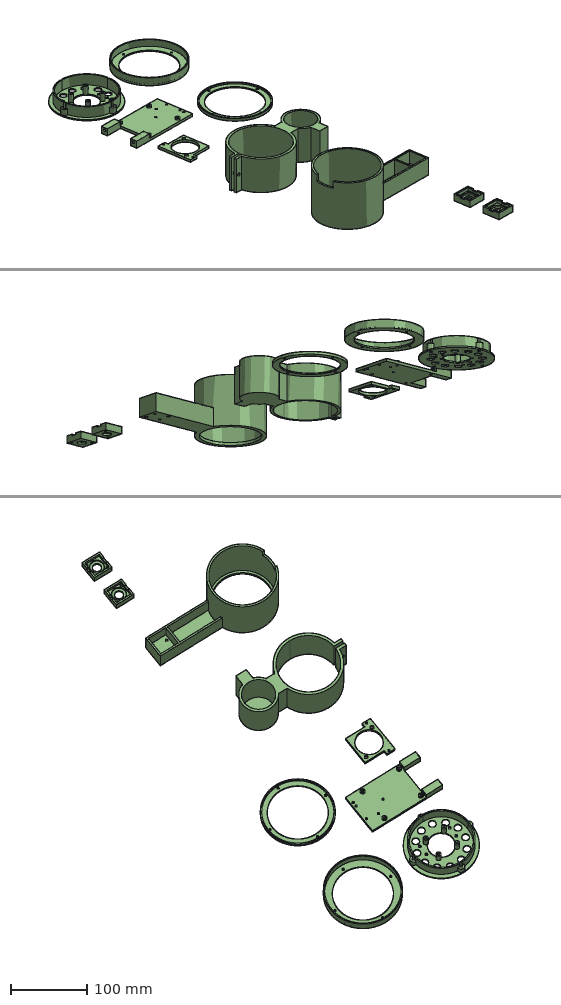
import cadquery as cq
import math


def disc(diameter, bottom, top, center=(0, 0)):
    """Upright cylinder between two heights."""
    return cq.Workplane("XY", origin=(*center, bottom)).circle(diameter / 2).extrude(top - bottom)


def block(x_range, y_range, z_range):
    """Axis-aligned box between the given limits."""
    size = [high - low for low, high in (x_range, y_range, z_range)]
    corner = (x_range[0], y_range[0], z_range[0])
    return cq.Workplane("XY").box(*size, centered=False).translate(corner)


def pegs(points, diameter, bottom, top):
    """Upright cylinders of one diameter at several points."""
    plane = cq.Workplane("XY", origin=(0, 0, bottom))
    return plane.pushPoints(points).circle(diameter / 2).extrude(top - bottom)


def circle_points(count, radius, first_angle=0):
    """Points spread evenly on a circle around the origin."""
    angles = [math.radians(first_angle + 360 * i / count) for i in range(count)]
    return [(radius * math.cos(a), radius * math.sin(a)) for a in angles]


def rectangle_points(half_x, half_y, center=(0, 0)):
    """The four corners of a rectangle."""
    return [(center[0] + sx * half_x, center[1] + sy * half_y) for sx in (-1, 1) for sy in (-1, 1)]


def diagonal_pair(x, y):
    """A point and its opposite through the origin."""
    return [(x, y), (-x, -y)]


BASE_DIAMETER = 100.0
RIM_OPENING = 80.0
SCREW_CIRCLE_RADIUS = 44.5
SCREW_HOLE = 3.5
SMALL_HOLE = 2.8
SCREW_POINTS = circle_points(4, SCREW_CIRCLE_RADIUS)

COVER_Y = 125.0
RETAINER_CENTER = (148.5, 124.5)
BASE_Y = -0.5
PLATE_X = 99.0
BRACKET_CENTER = (180.0, -12.0)
CLAMP_X = 300.0
HOLDER_X = 449.5
TRAY_X = (550.0, 600.0)
TRAY_Y = 127.0

COVER_DIAMETER = 104.0
COVER_HEIGHT = 12.0
COVER_FLOOR = 2.0
COVER_RECESS = 100.5


def make_cover_ring():
    ring = disc(COVER_DIAMETER, 0, COVER_HEIGHT)
    ring = ring.cut(disc(COVER_RECESS, COVER_FLOOR, COVER_HEIGHT))
    ring = ring.cut(disc(RIM_OPENING, 0, COVER_HEIGHT))
    ring = ring.cut(pegs(SCREW_POINTS, SMALL_HOLE, 0, COVER_FLOOR))
    return ring.translate((0, COVER_Y, 0))


RETAINER_DIAMETER = 98.5
RETAINER_HEIGHT = 4.0
RETAINER_FLOOR = 2.0
RETAINER_RECESS = 94.5


def make_retainer_ring():
    ring = disc(RETAINER_DIAMETER, 0, RETAINER_HEIGHT)
    ring = ring.cut(disc(RETAINER_RECESS, RETAINER_FLOOR, RETAINER_HEIGHT))
    ring = ring.cut(disc(RIM_OPENING, 0, RETAINER_HEIGHT))
    ring = ring.cut(pegs(SCREW_POINTS, SMALL_HOLE, 0, RETAINER_FLOOR))
    return ring.translate((*RETAINER_CENTER, 0))


BASE_FLOOR = 2.0
BASE_OPENING = 36.5
BASE_HEIGHT = 18.0
BASE_WALL_OUTER = 88.5
BASE_WALL_INNER = 84.5
SCREW_BOSS = 10.0
SCREW_BOSS_HEIGHT = 10.5
VENT_COUNT = 12
VENT_DIAMETER = 10.0
VENT_CIRCLE_RADIUS = 34.0
POST_DIAMETER = 6.5
POST_OFFSET = 14.5
POST_HEIGHT = 14.0
WIRE_HOLE = 3.4
WIRE_HOLE_POINTS = [(x, y) for x in (0, 14.5) for y in (-24.0, 24.0)]


def make_base():
    post_points = rectangle_points(POST_OFFSET, POST_OFFSET)
    base = disc(BASE_DIAMETER, 0, BASE_FLOOR)
    base = base.union(disc(BASE_WALL_OUTER, 0, BASE_HEIGHT))
    base = base.union(pegs(SCREW_POINTS, SCREW_BOSS, 0, SCREW_BOSS_HEIGHT))
    base = base.cut(disc(BASE_WALL_INNER, BASE_FLOOR, BASE_HEIGHT))
    base = base.cut(disc(BASE_OPENING, 0, BASE_HEIGHT))
    base = base.union(pegs(post_points, POST_DIAMETER, 0, POST_HEIGHT))
    base = base.cut(pegs(post_points, SMALL_HOLE, 0, POST_HEIGHT))
    base = base.cut(pegs(SCREW_POINTS, SCREW_HOLE, 0, BASE_HEIGHT))
    vents = circle_points(VENT_COUNT, VENT_CIRCLE_RADIUS, 180 / VENT_COUNT)
    base = base.cut(pegs(vents, VENT_DIAMETER, 0, BASE_FLOOR))
    base = base.cut(pegs(WIRE_HOLE_POINTS, WIRE_HOLE, 0, BASE_FLOOR))
    return base.translate((0, BASE_Y, 0))


PLATE_THICKNESS = 4.0
PLATE_HALF_WIDTH = 30.5
PLATE_BACK_Y = 61.0
PLATE_FRONT_Y = -25.0
LEG_FRONT_Y = -51.0
LEG_WIDTH = 10.5
LEG_HEIGHT = 10.5
LEG_HOLE_X = 24.5
LEG_HOLE_Z = 6.5
LEG_HOLE = 3.5
BOARD_POST = 6.5
BOARD_POST_HEIGHT = 6.0
BOARD_HALF_PITCH_X = 24.5
BOARD_HALF_PITCH_Y = 29.0
BOARD_CENTER_Y = 8.5
PLATE_HOLE_POINTS = [(-11.0, 57.0), (12.0, 57.0), (18.5, 57.0), (-14.0, 40.0), (0, 22.5)]


def make_board_plate():
    half = PLATE_HALF_WIDTH
    posts = rectangle_points(BOARD_HALF_PITCH_X, BOARD_HALF_PITCH_Y, (0, BOARD_CENTER_Y))
    plate = block((-half, half), (PLATE_FRONT_Y, PLATE_BACK_Y), (0, PLATE_THICKNESS))
    leg = block((-half, LEG_WIDTH - half), (LEG_FRONT_Y, PLATE_FRONT_Y), (0, LEG_HEIGHT))
    plate = plate.union(leg).union(leg.mirror("YZ"))
    plate = plate.union(pegs(posts, BOARD_POST, 0, BOARD_POST_HEIGHT))
    plate = plate.cut(pegs(posts, SMALL_HOLE, 0, BOARD_POST_HEIGHT))
    plate = plate.cut(pegs(PLATE_HOLE_POINTS, SMALL_HOLE, 0, PLATE_THICKNESS))
    leg_holes = (
        cq.Workplane("XZ", origin=(0, PLATE_FRONT_Y, LEG_HOLE_Z))
        .pushPoints([(-LEG_HOLE_X, 0), (LEG_HOLE_X, 0)])
        .circle(LEG_HOLE / 2)
        .extrude(PLATE_FRONT_Y - LEG_FRONT_Y)
    )
    return plate.cut(leg_holes).translate((PLATE_X, 0, 0))


BRACKET_THICKNESS = 4.0
BRACKET_HALF_WIDTH = 22.0
BRACKET_HALF_LENGTH = 22.0
BRACKET_OPENING = 37.0
EAR_HALF_SPAN = 28.0
EAR_LENGTH = 13.0
EAR_HOLE_X = 25.0
EAR_HOLE_Y = -14.0
FAN_HOLE_OFFSET = 16.0
FAN_HOLE = 4.8


def make_fan_bracket():
    thickness = (0, BRACKET_THICKNESS)
    back, front = BRACKET_HALF_LENGTH, -BRACKET_HALF_LENGTH
    bracket = block((-BRACKET_HALF_WIDTH, BRACKET_HALF_WIDTH), (front, back), thickness)
    ears = block((-EAR_HALF_SPAN, EAR_HALF_SPAN), (front, front + EAR_LENGTH), thickness)
    bracket = bracket.union(ears)
    bracket = bracket.cut(disc(BRACKET_OPENING, *thickness))
    fan_holes = diagonal_pair(-FAN_HOLE_OFFSET, FAN_HOLE_OFFSET)
    bracket = bracket.cut(pegs(fan_holes, FAN_HOLE, *thickness))
    ear_holes = [(-EAR_HOLE_X, EAR_HOLE_Y), (EAR_HOLE_X, EAR_HOLE_Y)]
    bracket = bracket.cut(pegs(ear_holes, SMALL_HOLE, *thickness))
    return bracket.translate((*BRACKET_CENTER, 0))


CLAMP_HEIGHT = 50.5
CLAMP_OUTER = 92.5
CLAMP_INNER = 84.5
CUP_Y = 80.0
CUP_OUTER = 52.0
CUP_INNER = 44.5
CUP_FLOOR = 3.0
NECK_WIDTH = 28.0
NUB_WIDTH = 16.5
NUB_REACH = 40.0
LUG_END_Y = -56.5
LUG_SPAN = 12.0
CLAMP_GAP = 4.0
LUG_HOLE_Y = -51.0
LUG_HOLE = 4.2


def make_clamp():
    height = (0, CLAMP_HEIGHT)
    clamp = disc(CLAMP_OUTER, *height)
    clamp = clamp.union(disc(CUP_OUTER, *height, (0, CUP_Y)))
    clamp = clamp.union(block((-NECK_WIDTH / 2, NECK_WIDTH / 2), (0, CUP_Y), height))
    clamp = clamp.union(block((0, NUB_REACH), (CUP_Y - NUB_WIDTH / 2, CUP_Y + NUB_WIDTH / 2), height))
    clamp = clamp.union(block((-LUG_SPAN / 2, LUG_SPAN / 2), (LUG_END_Y, 0), height))
    clamp = clamp.cut(disc(CLAMP_INNER, *height))
    clamp = clamp.cut(disc(CUP_INNER, CUP_FLOOR, CLAMP_HEIGHT, (0, CUP_Y)))
    clamp = clamp.cut(block((-CLAMP_GAP / 2, CLAMP_GAP / 2), (LUG_END_Y, 0), height))
    lug_hole = (
        cq.Workplane("YZ", origin=(-LUG_SPAN / 2, LUG_HOLE_Y, CLAMP_HEIGHT / 2))
        .circle(LUG_HOLE / 2)
        .extrude(LUG_SPAN)
    )
    return clamp.cut(lug_hole).translate((CLAMP_X, 0, 0))


HOLDER_HEIGHT = 70.0
HOLDER_OUTER = 94.5
HOLDER_BORE = 82.0
HOLDER_RECESS = 88.5
HOLDER_LEDGE = 4.0
NOTCH_WIDTH = 28.0
NOTCH_DEPTH = 10.0
ARM_WIDTH = 33.0
ARM_HEIGHT = 26.0
ARM_END_Y = 144.0
ARM_WALL = 2.5
ARM_FLOOR = 2.5
ARM_BOX_LENGTH = 28.0
ARM_BOX_FLOOR = 7.0
ARM_HOLE_Y = 10.0
WIDE_PAIR_X = 10.5
WIDE_PAIR_HOLE = 4.8
NARROW_PAIR_X = 6.5
NARROW_PAIR_HOLE = 3.2


def make_holder():
    height = (0, HOLDER_HEIGHT)
    half_arm = ARM_WIDTH / 2
    half_cavity = half_arm - ARM_WALL
    box_back = ARM_END_Y - ARM_WALL
    box_front = box_back - ARM_BOX_LENGTH
    barrel = disc(HOLDER_OUTER, *height)
    arm = block((-half_arm, half_arm), (0, ARM_END_Y), (0, ARM_HEIGHT))
    arm = arm.cut(block((-half_cavity, half_cavity), (box_front, box_back), (ARM_BOX_FLOOR, ARM_HEIGHT)))
    arm = arm.cut(block((-half_cavity, half_cavity), (0, box_front - ARM_WALL), (ARM_FLOOR, ARM_HEIGHT)))
    box_center = (0, (box_front + box_back) / 2, 0)
    wide_pair = pegs(diagonal_pair(WIDE_PAIR_X, ARM_HOLE_Y), WIDE_PAIR_HOLE, 0, ARM_BOX_FLOOR)
    narrow_pair = pegs(diagonal_pair(-NARROW_PAIR_X, ARM_HOLE_Y), NARROW_PAIR_HOLE, 0, ARM_BOX_FLOOR)
    arm = arm.cut(wide_pair.translate(box_center)).cut(narrow_pair.translate(box_center))
    holder = barrel.union(arm)
    holder = holder.cut(disc(HOLDER_BORE, *height))
    holder = holder.cut(disc(HOLDER_RECESS, HOLDER_LEDGE, HOLDER_HEIGHT))
    notch_bottom = HOLDER_HEIGHT - NOTCH_DEPTH
    notch = block((-NOTCH_WIDTH / 2, NOTCH_WIDTH / 2), (-HOLDER_OUTER, 0), (notch_bottom, HOLDER_HEIGHT))
    return holder.cut(notch).translate((HOLDER_X, 0, 0))


TRAY_SIZE = 28.0
TRAY_HEIGHT = 10.0
TRAY_WALL = 2.5
TRAY_FLOOR = 5.0
TRAY_HOLE = 12.0
TRAY_COUNTERBORE = 19.0
TRAY_COUNTERBORE_DEPTH = 2.5
TRAY_SLOT_WIDTH = 7.0
TRAY_SLOT_DEPTH = 2.0
TRAY_SCREW_X = 8.5
TRAY_SCREW_Y = 10.0
TRAY_SCREW_HOLE = 3.2


def make_tray(center_x, screw_side):
    """Square tray; screw_side says which diagonal holds its two screw holes."""
    half = TRAY_SIZE / 2
    cavity_range = (TRAY_WALL - half, half - TRAY_WALL)
    tray = block((-half, half), (-half, half), (0, TRAY_HEIGHT))
    tray = tray.cut(block(cavity_range, cavity_range, (TRAY_FLOOR, TRAY_HEIGHT)))
    tray = tray.cut(disc(TRAY_HOLE, 0, TRAY_FLOOR))
    tray = tray.cut(disc(TRAY_COUNTERBORE, TRAY_FLOOR - TRAY_COUNTERBORE_DEPTH, TRAY_FLOOR))
    slot_range = (-TRAY_SLOT_WIDTH / 2, TRAY_SLOT_WIDTH / 2)
    tray = tray.cut(block(slot_range, (-half, half), (TRAY_HEIGHT - TRAY_SLOT_DEPTH, TRAY_HEIGHT)))
    screws = diagonal_pair(screw_side * TRAY_SCREW_X, TRAY_SCREW_Y)
    tray = tray.cut(pegs(screws, TRAY_SCREW_HOLE, 0, TRAY_FLOOR))
    return tray.translate((center_x, TRAY_Y, 0))


cover_ring = make_cover_ring()
retainer_ring = make_retainer_ring()
base = make_base()
board_plate = make_board_plate()
fan_bracket = make_fan_bracket()
clamp = make_clamp()
holder = make_holder()
trays = [make_tray(x, side) for x, side in zip(TRAY_X, (-1, 1))]

result = cq.Compound.makeCompound(
    [
        cover_ring.val(),
        retainer_ring.val(),
        base.val(),
        board_plate.val(),
        fan_bracket.val(),
        clamp.val(),
        holder.val(),
        *[tray.val() for tray in trays],
    ]
)